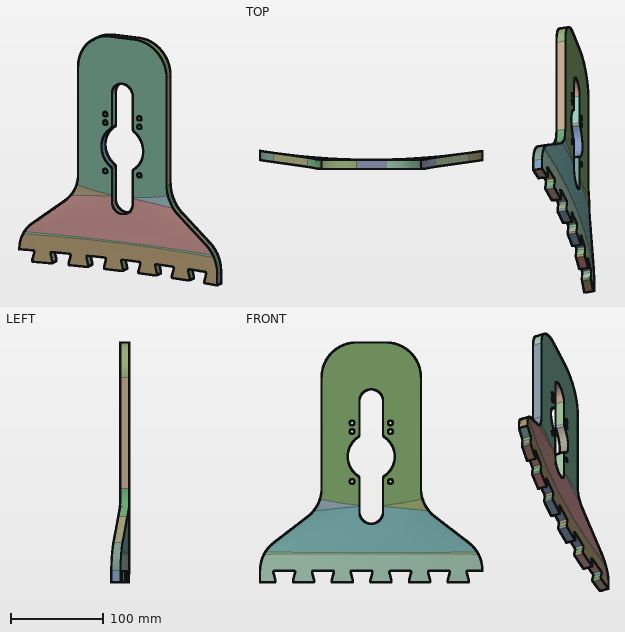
import cadquery as cq
import math

thickness = 10.0
total_height = 260.35
shank_width = 107.95
blade_width = 241.3
corner_radius = 38.1

upper_bend_height = 83.0
lower_bend_height = 31.75
bow_front = -0.05
bow_end = 9.81
strip_lean = 0.25
bow_rise = bow_end - strip_lean - bow_front
bow_radius = ((blade_width / 2) ** 2 + bow_rise**2) / (2 * bow_rise)
upper_bend_radius = 98.0

lower_setback_end = 1.3
lower_setback_middle = 0.8

stock_ratio = 1.1

window_height = 136.5
slot_length = 145.5
slot_width = 25.4
opening_radius = 25.4
window_blend_radius = 3.2

hole_diameter = 5.0
hole_offset_x = 20.75
hole_rises = (-27.0, 27.0, 36.5)

tooth_pitch = 41.91
notch_depth = 12.7
dovetail_angle = 15.0
tooth_corner_radius = 1.6
notch_count = 6
first_notch_x = -2.25 * tooth_pitch

cutter_length = 100.0

tolerance = 0.01


def bowed_line(half, height):
    """End and middle points of a bowed front line, out to the sides of the untrimmed stock."""
    shift = strip_lean * (1 - height / lower_bend_height)
    middle = cq.Vector(0, bow_front + shift, height)
    end_y = middle.y + bow_radius - math.sqrt(bow_radius**2 - half**2)
    return cq.Vector(half, end_y, height), middle


def between(start, finish, distance):
    """Point on the line from start to finish, at the given height away from start."""
    return start + (finish - start) * abs(distance / (finish.z - start.z))


def section(end, middle):
    """Closed cross-section whose front line runs through the middle point to both end points."""
    mirrored = cq.Vector(-end.x, end.y, end.z)
    depth = cq.Vector(0, thickness, 0)
    if end.y == middle.y:
        front = cq.Edge.makeLine(mirrored, end)
        back = cq.Edge.makeLine(end + depth, mirrored + depth)
    else:
        front = cq.Edge.makeThreePointArc(mirrored, middle, end)
        back = cq.Edge.makeThreePointArc(end + depth, middle + depth, mirrored + depth)
    right = cq.Edge.makeLine(end, end + depth)
    left = cq.Edge.makeLine(mirrored + depth, mirrored)
    return cq.Wire.assembleEdges([front, right, back, left])


def make_stock():
    """Plate with untrimmed sides, sharp at the upper bend and blended at the lower one."""
    flat_half = stock_ratio * shank_width / 2
    bowed_half = stock_ratio * blade_width / 2
    top = (cq.Vector(flat_half, 0, total_height), cq.Vector(0, 0, total_height))
    upper = (cq.Vector(flat_half, 0, upper_bend_height), cq.Vector(0, 0, upper_bend_height))
    lower = bowed_line(bowed_half, lower_bend_height)
    bottom = bowed_line(bowed_half, 0)
    setbacks = (lower_setback_end, lower_setback_middle)
    blend_top = [between(*line) for line in zip(lower, upper, setbacks)]
    blend_bottom = [between(*line) for line in zip(lower, bottom, setbacks)]
    lines = (bottom, blend_bottom, blend_top, upper, top)
    return cq.Workplane(cq.Solid.makeLoft([section(*line) for line in lines], True))


def near(edges, x, z):
    """Edges that stand at the given X (on both sides) and Z."""
    return edges.filter(
        lambda e: math.isclose(abs(e.Center().x), x, abs_tol=tolerance)
        and math.isclose(e.Center().z, z, abs_tol=tolerance)
    )


def make_outline():
    """Prism of the plate's outline with rounded corners, for trimming the bent stock."""
    shank_half = shank_width / 2
    blade_half = blade_width / 2
    outline = (
        cq.Workplane("XZ")
        .moveTo(-blade_half, 0)
        .lineTo(blade_half, 0)
        .lineTo(blade_half, lower_bend_height)
        .lineTo(shank_half, upper_bend_height)
        .lineTo(shank_half, total_height)
        .lineTo(-shank_half, total_height)
        .lineTo(-shank_half, upper_bend_height)
        .lineTo(-blade_half, lower_bend_height)
        .close()
        .extrude(cutter_length / 2, both=True)
    )
    return outline.edges("|Y").edges("not <Z").fillet(corner_radius)


def make_window():
    """Cutter for the keyhole window, with rounded corners where the slot meets the opening."""
    window = (
        cq.Workplane("XZ", origin=(0, 0, window_height))
        .slot2D(slot_length, slot_width, 90)
        .extrude(cutter_length / 2, both=True)
    )
    opening = (
        cq.Workplane("XZ", origin=(0, 0, window_height))
        .circle(opening_radius)
        .extrude(cutter_length / 2, both=True)
    )
    window = window.union(opening)
    half_slot = slot_width / 2
    junction_rise = math.sqrt(opening_radius**2 - half_slot**2)
    for rise in (-junction_rise, junction_rise):
        junctions = near(window.edges("|Y"), half_slot, window_height + rise)
        window = junctions.fillet(window_blend_radius)
    return window


def make_holes():
    """Cutters for the screw holes on both sides of the window."""
    points = [(side * hole_offset_x, rise) for side in (-1, 1) for rise in hole_rises]
    return (
        cq.Workplane("XZ", origin=(0, 0, window_height))
        .pushPoints(points)
        .circle(hole_diameter / 2)
        .extrude(cutter_length / 2, both=True)
    )


def bend_edges(body, height):
    """Long edges across the plate at a bend, front and back."""
    return body.edges().filter(
        lambda e: abs(e.Center().z - height) < tolerance
        and e.BoundingBox().zlen < tolerance
        and e.BoundingBox().xlen > slot_width
    )


def cut_notch(body, center_x):
    """Dovetail notch, wider at its root, with rounded root corners and tooth tips."""
    lean = notch_depth * math.tan(math.radians(dovetail_angle))
    root = tooth_pitch / 4 + lean / 2
    mouth = tooth_pitch / 4 - lean / 2
    notch = (
        cq.Workplane("XZ", origin=(center_x, 0, 0))
        .moveTo(-mouth, 0)
        .lineTo(-root, notch_depth)
        .lineTo(root, notch_depth)
        .lineTo(mouth, 0)
        .close()
        .extrude(cutter_length / 2, both=True)
    )
    notch = notch.edges("|Y").edges(">Z").fillet(tooth_corner_radius)
    body = body.cut(notch)
    tips = body.edges().filter(
        lambda e: math.isclose(abs(e.Center().x - center_x), mouth, abs_tol=tolerance)
        and e.BoundingBox().xlen < tolerance
        and e.Center().z < tolerance
    )
    return tips.fillet(tooth_corner_radius)


body = make_stock().cut(make_window())
body = bend_edges(body, upper_bend_height).fillet(upper_bend_radius)
body = body.intersect(make_outline()).cut(make_holes())
for index in range(notch_count):
    body = cut_notch(body, first_notch_x + index * tooth_pitch)

result = body